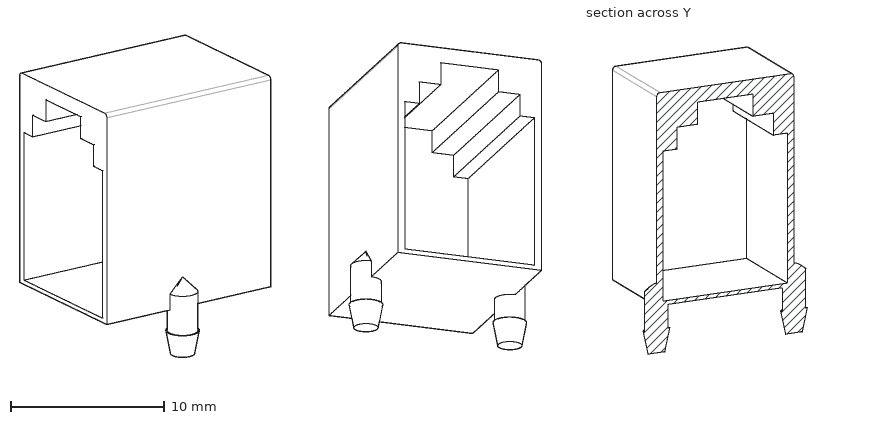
import cadquery as cq

housing_width = 10.0
housing_depth = 13.0
housing_height = 14.55
top_edge_radius = 0.25

side_wall = 0.5
back_wall = side_wall
floor_thickness = 0.3
shoulder_half_width = 3.5
latch_half_width = 2.0
cavity_side_height = 10.5
shoulder_height = 12.0
latch_height = 13.5

peg_diameter = 2.0
peg_lip_diameter = 2.2
peg_end_diameter = 1.6
peg_drop = 3.2
peg_lip_height = 1.6
peg_shoulder_height = 4.3
peg_y = -0.5

front_y = -housing_depth / 2
cavity_depth = housing_depth - back_wall
cavity_half_width = housing_width / 2 - side_wall


def make_block():
    """Block standing on Z = 0 with its two long top edges rounded."""
    block = cq.Workplane("XY").box(
        housing_width, housing_depth, housing_height, centered=(True, True, False)
    )
    return block.edges("|Y and >Z").fillet(top_edge_radius)


def make_cavity():
    """Symmetric stepped pocket running back from the front face."""
    right_half = [
        (cavity_half_width, floor_thickness),
        (cavity_half_width, cavity_side_height),
        (shoulder_half_width, cavity_side_height),
        (shoulder_half_width, shoulder_height),
        (latch_half_width, shoulder_height),
        (latch_half_width, latch_height),
    ]
    left_half = [(-x, z) for x, z in reversed(right_half)]
    return (
        cq.Workplane("XZ", origin=(0, front_y, 0))
        .polyline(right_half + left_half)
        .close()
        .extrude(-cavity_depth)
    )


def make_peg(x):
    """Turned peg with a tapered end, a small lip and a 45-degree pointed top."""
    radius = peg_diameter / 2
    lip_radius = peg_lip_diameter / 2
    end_radius = peg_end_diameter / 2
    tip_height = peg_shoulder_height + radius
    return (
        cq.Workplane("XZ")
        .polyline([
            (0, 0),
            (end_radius, 0),
            (lip_radius, peg_lip_height),
            (radius, peg_lip_height),
            (radius, peg_shoulder_height),
            (0, tip_height),
        ])
        .close()
        .revolve(360, (0, 0, 0), (0, 1, 0))
        .translate((x, peg_y, -peg_drop))
    )


def make_housing():
    """Block with integral pegs; the cavity is cut last so its walls stay flat."""
    housing = make_block()
    for side in (-1, 1):
        housing = housing.union(make_peg(side * housing_width / 2))
    return housing.cut(make_cavity())


housing = make_housing()
result = cq.Compound.makeCompound([housing.val()])